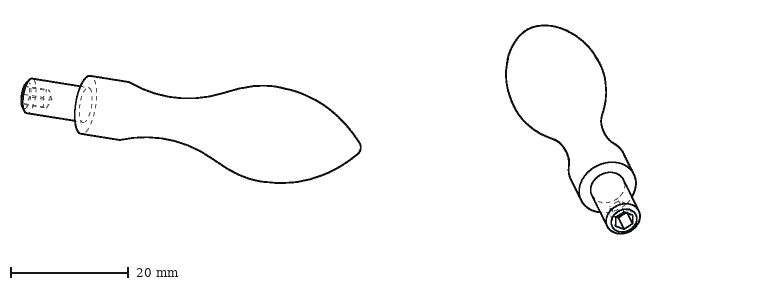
import cadquery as cq
import math

overall_length = 61.0
stud_diameter = 6.0
stud_length = 10.85
stud_chamfer_length = 0.6
stud_chamfer_height = 0.75
collar_diameter = 10.0
collar_length = 7.0
neck_length = 17.25
neck_waist_diameter = 7.2
neck_waist_offset = 8.05
neck_end_diameter = 11.35
grip_diameter = 16.35
grip_widest_offset = 9.1
tip_diameter = 2.3
tip_height = 0.55
tip_half_angle = 45.0

socket_across_flats = 3.0
socket_depth = 3.65
drill_point_angle = 120.0

stud_radius = stud_diameter / 2
collar_radius = collar_diameter / 2
neck_end_radius = neck_end_diameter / 2
waist_radius = neck_waist_diameter / 2
grip_radius = grip_diameter / 2
tip_radius = tip_diameter / 2

collar_end = stud_length + collar_length
waist_x = collar_end + neck_waist_offset
neck_end = collar_end + neck_length
grip_widest_x = neck_end + grip_widest_offset
tip_start = overall_length - tip_height


def neck_end_tangent():
    """Direction of a circular arc level at the waist and passing through the neck end."""
    run = neck_end - waist_x
    rise = neck_end_radius - waist_radius
    angle = 2 * math.atan2(rise, run)
    return (math.cos(angle), math.sin(angle))


def make_handle():
    tip_angle = math.radians(tip_half_angle)
    tip_sphere_radius = (tip_radius**2 + tip_height**2) / (2 * tip_height)
    half_arc = math.asin(tip_radius / tip_sphere_radius) / 2
    tip_center = overall_length - tip_sphere_radius
    tip_mid = (
        tip_center + tip_sphere_radius * math.cos(half_arc),
        tip_sphere_radius * math.sin(half_arc),
    )
    profile = (
        cq.Workplane("XY")
        .lineTo(0, stud_radius - stud_chamfer_height)
        .lineTo(stud_chamfer_length, stud_radius)
        .lineTo(stud_length, stud_radius)
        .lineTo(stud_length, collar_radius)
        .lineTo(collar_end, collar_radius)
        .threePointArc((waist_x, waist_radius), (neck_end, neck_end_radius))
        .spline(
            [(grip_widest_x, grip_radius), (tip_start, tip_radius)],
            tangents=[neck_end_tangent(), (1, 0), (math.cos(tip_angle), -math.sin(tip_angle))],
            includeCurrent=True,
        )
        .threePointArc(tip_mid, (overall_length, 0))
        .close()
    )
    return profile.revolve(360, (0, 0, 0), (1, 0, 0))


def make_socket():
    """Hexagonal socket with its corners along Z and a conical drill point."""
    across_corners = socket_across_flats / math.cos(math.pi / 6)
    corner_radius = across_corners / 2
    point_depth = corner_radius / math.tan(math.radians(drill_point_angle / 2))
    total_depth = socket_depth + point_depth
    hexagon = (
        cq.Workplane("YZ")
        .transformed(rotate=(0, 0, 90))
        .polygon(6, across_corners)
        .extrude(total_depth)
    )
    pointed_bore = (
        cq.Workplane("XY")
        .lineTo(0, corner_radius)
        .lineTo(socket_depth, corner_radius)
        .lineTo(total_depth, 0)
        .close()
        .revolve(360, (0, 0, 0), (1, 0, 0))
    )
    return hexagon.intersect(pointed_bore)


result = make_handle().cut(make_socket())